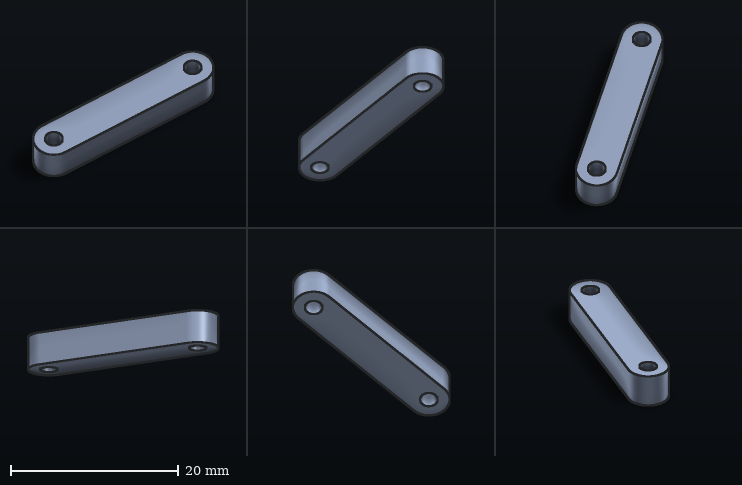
import cadquery as cq

length = 25.0
width = 5.0
thickness = 4.0
hole_diameter = 2.1

hole_spacing = length - width

bar = cq.Workplane("XY").slot2D(length, width, angle=90).extrude(thickness)

result = (
    bar.faces(">Z")
    .workplane(origin=(0, 0, thickness))
    .pushPoints([(0, -hole_spacing / 2), (0, hole_spacing / 2)])
    .hole(hole_diameter)
)